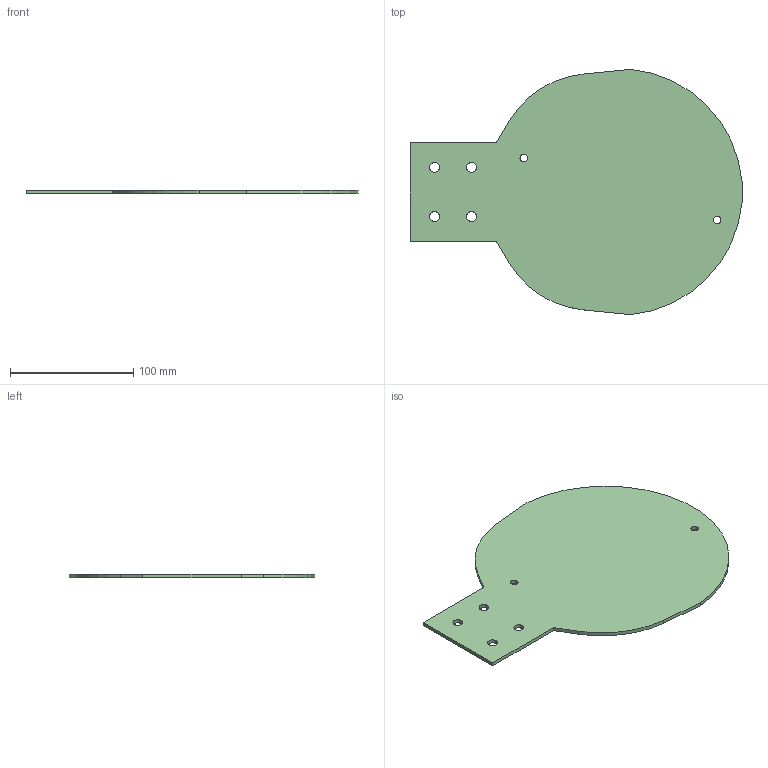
import cadquery as cq
import math

thickness = 3.0

disc_radius = 100.0
disc_start_half_width = 99.595
disc_start_x = math.sqrt(disc_radius**2 - disc_start_half_width**2)

tab_end_x = -170.0
tab_length = 70.0
tab_half_width = 40.0
tab_root_x = tab_end_x + tab_length

shoulder_corner_x = -68.8
shoulder_corner_y = 91.8
shoulder_radius = 79.0

tab_hole_diameter = 8.0
tab_hole_edge_distance = 20.0
tab_hole_pitch_x = 30.0
tab_hole_pitch_y = 40.0

disc_hole_diameter = 6.2
disc_hole_centres = [(-77.6, 27.6), (79.4, -22.7)]


def make_plate():
    """Outline symmetric about the X axis, extruded, with both shoulders blended."""
    plate = (
        cq.Workplane("XY")
        .moveTo(tab_end_x, -tab_half_width)
        .lineTo(tab_root_x, -tab_half_width)
        .lineTo(shoulder_corner_x, -shoulder_corner_y)
        .lineTo(disc_start_x, -disc_start_half_width)
        .threePointArc((disc_radius, 0), (disc_start_x, disc_start_half_width))
        .lineTo(shoulder_corner_x, shoulder_corner_y)
        .lineTo(tab_root_x, tab_half_width)
        .lineTo(tab_end_x, tab_half_width)
        .close()
        .extrude(thickness)
    )
    for side in (-1, 1):
        corner = (shoulder_corner_x, side * shoulder_corner_y, thickness / 2)
        corner_edge = cq.selectors.NearestToPointSelector(corner)
        plate = plate.edges("|Z").edges(corner_edge).fillet(shoulder_radius)
    return plate


def tab_hole_centres():
    """Centres of the four tab holes, mirrored about the X axis."""
    first_x = tab_end_x + tab_hole_edge_distance
    return [
        (x, side * tab_hole_pitch_y / 2)
        for x in (first_x, first_x + tab_hole_pitch_x)
        for side in (-1, 1)
    ]


def drill(plate, centres, diameter):
    """Cut through holes of one diameter at the given XY centres."""
    drills = cq.Workplane("XY").pushPoints(centres).circle(diameter / 2).extrude(thickness)
    return plate.cut(drills)


result = make_plate()
result = drill(result, tab_hole_centres(), tab_hole_diameter)
result = drill(result, disc_hole_centres, disc_hole_diameter)